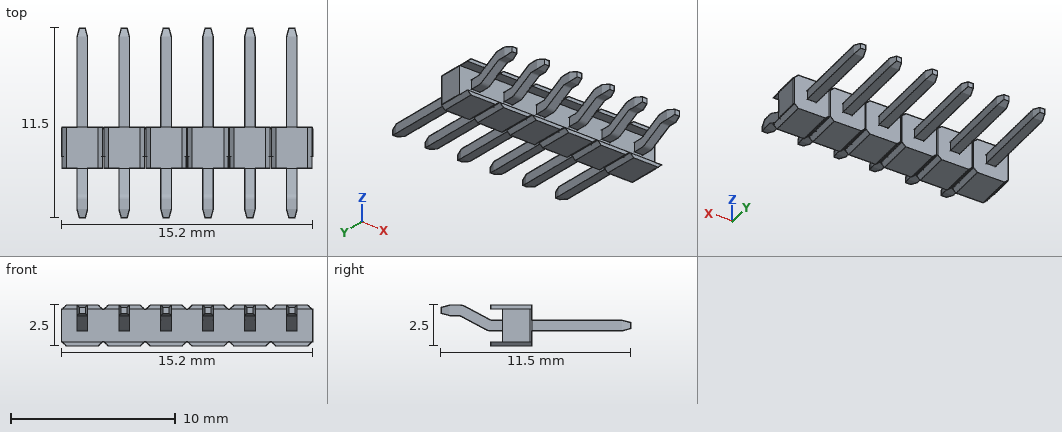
import cadquery as cq
import math

row_length = 15.24
pin_count = 6
pitch = row_length / pin_count

housing_depth = 2.5
housing_height = 2.5
flange_thickness = 0.26
flange_side_inset = 0.038
flange_bevel = 0.27
core_depth = 1.78
core_height = housing_height - 2 * flange_thickness
notch_half_width = flange_side_inset
notch_depth = 0.1

pin_size = 0.65
pin_tip_size = 0.37
pin_tip_length = 0.53
pin_rear_reach = 6.0
pin_front_reach = 5.5
bend_angle = 28.1
outer_bend_radius = 0.64
inner_bend_radius = 0.32
first_bend_y = -2.56

pin_rise = housing_height / 2 - pin_size / 2
bend_run = pin_rise / math.tan(math.radians(bend_angle))
second_bend_y = first_bend_y - bend_run

bend_shift = pin_size / 2 * math.tan(math.radians(bend_angle / 2))

cell_centres = [(i - (pin_count - 1) / 2) * pitch for i in range(pin_count)]


def make_flange(centre_x, side):
    """Bevelled plate above (side = 1) or below (side = -1) the core."""
    base_half = pitch / 2 - flange_side_inset
    outer_half = base_half - flange_bevel
    base_z = side * core_height / 2
    outer_z = side * housing_height / 2
    outline = [
        (centre_x - base_half, base_z),
        (centre_x + base_half, base_z),
        (centre_x + outer_half, outer_z),
        (centre_x - outer_half, outer_z),
    ]
    return cq.Workplane("XZ").polyline(outline).close().extrude(housing_depth)


def make_core():
    """Bar through all cells, notched on its +Y face where cells meet and at both ends."""
    core = cq.Workplane("XY").box(row_length, core_depth, core_height).translate((0, -core_depth / 2, 0))
    for i in range(pin_count + 1):
        boundary_x = (i - pin_count / 2) * pitch
        notch = (
            cq.Workplane("XY", origin=(boundary_x, 0, -core_height / 2))
            .polyline([(-notch_half_width, 0), (0, -notch_depth), (notch_half_width, 0)])
            .close()
            .extrude(core_height)
        )
        core = core.cut(notch)
    return core


def make_housing():
    """Core with one pair of flanges per cell and a square hole for each pin."""
    housing = make_core()
    for centre_x in cell_centres:
        for side in (1, -1):
            housing = housing.union(make_flange(centre_x, side))
    for centre_x in cell_centres:
        hole = cq.Workplane("XY").box(pin_size, 2 * housing_depth, pin_size).translate((centre_x, 0, 0))
        housing = housing.cut(hole)
    return housing


def make_tip(base_y, base_z, direction):
    """Tapered pin end pointing along +Y (direction = 1) or -Y (direction = -1)."""
    base_plane = cq.Plane(origin=(0, base_y, base_z), xDir=(1, 0, 0), normal=(0, direction, 0))
    return (
        cq.Workplane(base_plane)
        .rect(pin_size, pin_size)
        .workplane(offset=pin_tip_length)
        .rect(pin_tip_size, pin_tip_size)
        .loft()
    )


def make_pin():
    """Pin centred on X = 0."""
    half = pin_size / 2
    rear_y = pin_rear_reach - pin_tip_length
    front_y = -pin_front_reach + pin_tip_length

    first_inner = (first_bend_y + bend_shift, half)
    first_outer = (first_bend_y - bend_shift, -half)
    second_inner = (second_bend_y - bend_shift, pin_rise - half)
    second_outer = (second_bend_y + bend_shift, pin_rise + half)

    outline = [
        (rear_y, half),
        first_inner,
        second_outer,
        (front_y, pin_rise + half),
        (front_y, pin_rise - half),
        second_inner,
        first_outer,
        (rear_y, -half),
    ]
    shank = cq.Workplane("YZ").polyline(outline).close().extrude(half, both=True)

    corner_radii = (
        (first_outer, outer_bend_radius),
        (second_outer, outer_bend_radius),
        (first_inner, inner_bend_radius),
        (second_inner, inner_bend_radius),
    )
    for (y, z), radius in corner_radii:
        corner_edge = cq.selectors.NearestToPointSelector((0, y, z))
        shank = shank.edges("|X").edges(corner_edge).fillet(radius)
    return shank.union(make_tip(rear_y, 0, 1)).union(make_tip(front_y, pin_rise, -1))


housing = make_housing()
pin = make_pin()
pins = [pin.translate((centre_x, 0, 0)).val() for centre_x in cell_centres]
result = cq.Compound.makeCompound([housing.val(), *pins])